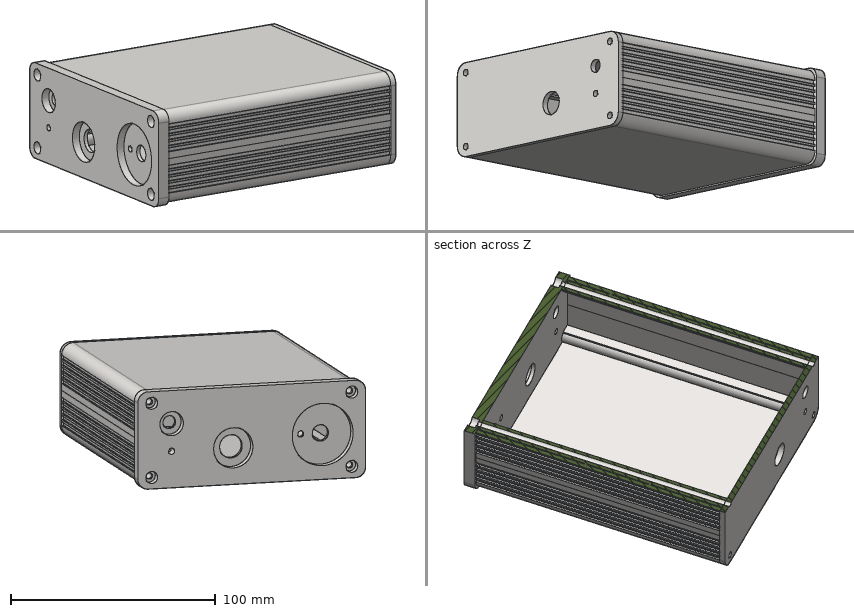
import cadquery as cq


front_width = 116.0
front_height = 48.5
total_length = 139.0
front_thickness = 6.0
rear_thickness = 3.0
shell_length = total_length - front_thickness - rear_thickness
front_corner_radius = 5.1

shell_width = 114.0
shell_height = 47.0
shell_corner_radius = 6.0
wall_thickness = 2.5

groove_count = 5
groove_height = 2.0
groove_depth = 1.0
band_height = 7.0
flat_half_height = shell_height / 2 - shell_corner_radius
groove_pitch = (flat_half_height - band_height / 2 - groove_height) / (groove_count - 1)

screw_x = 51.0
screw_z = 18.5
screw_diameter = 3.2
screw_head_diameter = 6.0
screw_head_depth = 4.0
boss_diameter = 7.0

rib_inner_x = 49.3
rib_face_z = 14.6
rib_height = 2.8

jack_x, jack_z = -40.9, 7.8
jack_diameter = 6.4
jack_recess_diameter = 12.0
lamp_x, lamp_z = jack_x, -6.0
lamp_diameter = 3.0
socket_x, socket_z = -9.5, -6.0
socket_diameter = 11.5
socket_recess_diameter = 20.0
knob_x, knob_z = 36.1, -1.8
knob_shaft_diameter = 8.2
knob_recess_diameter = 31.0
locating_offset = 10.0
locating_diameter = 3.0
recess_depth = 4.0

screw_points = [(sx * screw_x, sz * screw_z) for sx in (-1, 1) for sz in (-1, 1)]

aligned_holes = [
    (screw_points, screw_diameter),
    ([(jack_x, jack_z)], jack_diameter),
    ([(lamp_x, lamp_z)], lamp_diameter),
    ([(socket_x, socket_z)], socket_diameter),
]


def section(y):
    """Sketch plane across the enclosure at depth y; extruding by a negative length goes back."""
    return cq.Workplane("XZ", origin=(0, y, 0))


def rounded_block(width, height, radius, y, length):
    """Block with rounded long edges, running back from depth y."""
    return section(y).rect(width, height).extrude(-length).edges("|Y").fillet(radius)


def cylinders(points, diameter, y, length):
    """Cylinders along Y at the given (x, z) points, running back from depth y."""
    return section(y).pushPoints(points).circle(diameter / 2).extrude(-length)


def drill(panel, holes, y, depth):
    """Cut holes, listed as (points, diameter), into a panel from depth y backward."""
    for points, diameter in holes:
        panel = panel.cut(cylinders(points, diameter, y, depth))
    return panel


def make_front_panel():
    panel = rounded_block(front_width, front_height, front_corner_radius, 0, front_thickness)
    panel = panel.cut(cylinders(screw_points, screw_head_diameter, 0, screw_head_depth))
    recesses = [
        ([(jack_x, jack_z)], jack_recess_diameter),
        ([(socket_x, socket_z)], socket_recess_diameter),
        ([(knob_x, knob_z)], knob_recess_diameter),
    ]
    panel = drill(panel, recesses, 0, recess_depth)
    knob_holes = [
        ([(knob_x, knob_z)], knob_shaft_diameter),
        ([(knob_x - locating_offset, knob_z)], locating_diameter),
    ]
    return drill(panel, aligned_holes + knob_holes, 0, front_thickness)


def make_rear_panel():
    start = front_thickness + shell_length
    panel = rounded_block(shell_width, shell_height, shell_corner_radius, start, rear_thickness)
    return drill(panel, aligned_holes, start, rear_thickness)


def side_grooves():
    """Long grooves in both sides, above and below the plain band."""
    first_z = (band_height + groove_height) / 2
    centres = [
        (sx * shell_width / 2, sz * (first_z + i * groove_pitch))
        for sx in (-1, 1)
        for sz in (-1, 1)
        for i in range(groove_count)
    ]
    return (
        section(front_thickness)
        .pushPoints(centres)
        .rect(2 * groove_depth, groove_height)
        .extrude(-shell_length)
    )


def boss_ribs():
    """Four ribs along the shell, each reaching from beside a boss into the side wall."""
    rib_outer_x = shell_width / 2 - groove_depth
    rib_width = rib_outer_x - rib_inner_x
    rib_x = (rib_inner_x + rib_outer_x) / 2
    rib_z = rib_face_z + rib_height / 2
    centres = [(sx * rib_x, sz * rib_z) for sx in (-1, 1) for sz in (-1, 1)]
    return section(front_thickness).pushPoints(centres).rect(rib_width, rib_height).extrude(-shell_length)


def make_shell_half(side):
    """Half of the shell above (side = 1) or below (side = -1) mid height."""
    start = front_thickness
    outer = rounded_block(shell_width, shell_height, shell_corner_radius, start, shell_length)
    cavity = rounded_block(
        shell_width - 2 * wall_thickness,
        shell_height - 2 * wall_thickness,
        shell_corner_radius - wall_thickness,
        start,
        shell_length,
    )
    bosses = cylinders(screw_points, boss_diameter, start, shell_length).intersect(outer)
    shell = outer.cut(cavity).union(bosses).union(boss_ribs())
    shell = shell.cut(cylinders(screw_points, screw_diameter, start, shell_length))
    shell = shell.cut(side_grooves())
    half_space = (
        section(start)
        .center(0, side * shell_height / 4)
        .rect(shell_width, shell_height / 2)
        .extrude(-shell_length)
    )
    return shell.intersect(half_space)


front_panel = make_front_panel()
rear_panel = make_rear_panel()
shell_halves = [make_shell_half(side) for side in (-1, 1)]

result = cq.Compound.makeCompound(
    [front_panel.val(), rear_panel.val(), *[half.val() for half in shell_halves]]
)